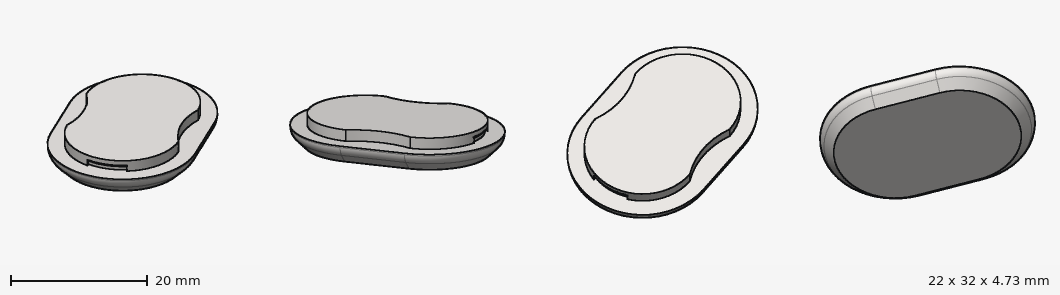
import cadquery as cq
import math

length = 32.0
width = 22.0
base_height = 3.0
boss_height = 1.73

rim_height = 0.2
round_radius = 1.92
bevel_angle = math.radians(45)

lobe_radius = 8.5
waist_radius = 12.0

notch_width = 6.0
notch_height = 0.95
notch_depth = 0.4

end_radius = width / 2
center_offset = length / 2 - end_radius


def base_half_section():
    """Cross-section of the base from its center line to the rim."""
    round_bottom = base_height - rim_height - round_radius * math.sin(bevel_angle)
    round_inset = round_radius * (1 - math.cos(bevel_angle))
    bottom_inset = round_inset + round_bottom / math.tan(bevel_angle)
    middle_angle = bevel_angle / 2
    arc_middle = (
        end_radius - round_radius * (1 - math.cos(middle_angle)),
        base_height - rim_height - round_radius * math.sin(middle_angle),
    )

    return (
        cq.Workplane("XZ")
        .moveTo(0, 0)
        .lineTo(end_radius - bottom_inset, 0)
        .lineTo(end_radius - round_inset, round_bottom)
        .threePointArc(arc_middle, (end_radius, base_height - rim_height))
        .lineTo(end_radius, base_height)
        .lineTo(0, base_height)
        .close()
    )


def make_base():
    """Stadium-shaped base, made from two revolved ends and a straight middle."""
    round_end = base_half_section().revolve(360, (0, 0, 0), (0, 1, 0))
    half_middle = base_half_section().extrude(center_offset, both=True)
    base = half_middle.union(half_middle.mirror("YZ"))
    for side in (-1, 1):
        base = base.union(round_end.translate((0, side * center_offset, 0)))
    return base


def make_boss():
    """Raised boss with round ends and concave long sides."""
    waist_sagitta = waist_radius - math.sqrt(waist_radius**2 - center_offset**2)
    waist_half_width = lobe_radius - waist_sagitta
    lobe_end = center_offset + lobe_radius
    return (
        cq.Workplane("XY", origin=(0, 0, base_height))
        .moveTo(lobe_radius, center_offset)
        .threePointArc((0, lobe_end), (-lobe_radius, center_offset))
        .threePointArc((-waist_half_width, 0), (-lobe_radius, -center_offset))
        .threePointArc((0, -lobe_end), (lobe_radius, -center_offset))
        .threePointArc((waist_half_width, 0), (lobe_radius, center_offset))
        .close()
        .extrude(boss_height)
    )


def make_notch(side):
    """Curved notch with a 45 degree upper face, at the end given by side (-1 or 1)."""
    neck_radius = lobe_radius - notch_depth
    clear_radius = lobe_radius + notch_depth
    ring = (
        cq.Workplane("XZ")
        .moveTo(neck_radius, base_height)
        .lineTo(clear_radius, base_height)
        .lineTo(clear_radius, base_height + notch_height)
        .lineTo(lobe_radius, base_height + notch_height)
        .lineTo(neck_radius, base_height + notch_height - notch_depth)
        .close()
        .revolve(360, (0, 0, 0), (0, 1, 0))
    )
    window = (
        cq.Workplane("XY", origin=(0, side * clear_radius / 2, base_height))
        .box(notch_width, clear_radius, notch_height, centered=(True, True, False))
    )
    return ring.intersect(window).translate((0, side * center_offset, 0))


boss = make_boss()
for end in (-1, 1):
    boss = boss.cut(make_notch(end))

result = make_base().union(boss)